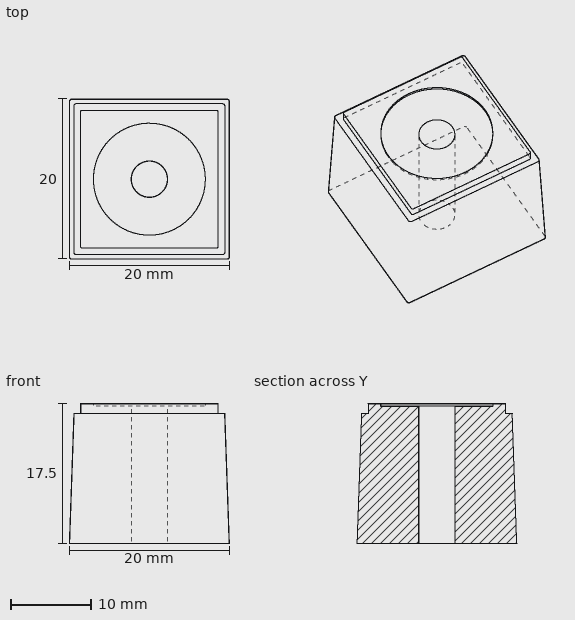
import cadquery as cq
import math

base_side = 20.0
draft_angle = 2.0
total_height = 17.5
step_height = 1.2
body_height = total_height - step_height
body_top_side = base_side - 2 * body_height * math.tan(math.radians(draft_angle))
body_corner_radius = 0.3

step_side = 17.2
step_corner_radius = 0.2

recess_diameter = 14.0
recess_depth = 0.3
hole_diameter = 4.5


def rounded_square(side, corner_radius):
    """Centred square outline with rounded corners."""
    return cq.Sketch().rect(side, side).vertices().fillet(corner_radius)


body = (
    cq.Workplane("XY")
    .placeSketch(
        rounded_square(base_side, body_corner_radius),
        rounded_square(body_top_side, body_corner_radius).moved(cq.Location(cq.Vector(0, 0, body_height))),
    )
    .loft()
)

step = (
    cq.Workplane("XY")
    .workplane(offset=body_height)
    .placeSketch(rounded_square(step_side, step_corner_radius))
    .extrude(step_height)
)

recess = (
    cq.Workplane("XY")
    .workplane(offset=total_height - recess_depth)
    .circle(recess_diameter / 2)
    .extrude(recess_depth)
)

through_hole = cq.Workplane("XY").circle(hole_diameter / 2).extrude(total_height)

result = body.union(step).cut(recess).cut(through_hole)